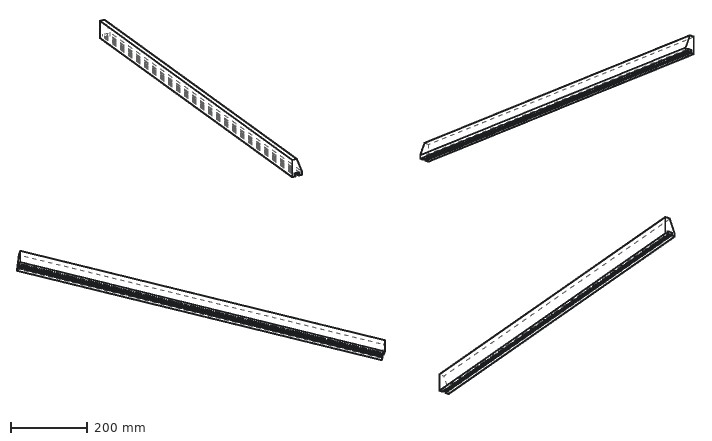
import cadquery as cq

length = 1000.0
depth = 30.0
height = 50.0

top_width = 14.0
back_height = 10.0

slot_opening = 8.0
slot_width = 15.0
slot_depth = 9.0
lip_height = 3.0


def make_bar():
    """Extrude the tapered outline, upright in front and sloped behind, along X."""
    outline = [
        (0, 0),
        (depth, 0),
        (depth, back_height),
        (top_width, height),
        (0, height),
    ]
    return cq.Workplane("YZ").polyline(outline).close().extrude(length)


def make_t_slot():
    """Full-length T-slot: a narrow mouth below a wider channel."""
    mouth = cq.Workplane("XY").box(length, slot_opening, slot_depth, centered=(False, True, False))
    channel = (
        cq.Workplane("XY", origin=(0, 0, lip_height))
        .box(length, slot_width, slot_depth - lip_height, centered=(False, True, False))
    )
    return mouth.union(channel).translate((0, depth / 2, 0))


result = make_bar().cut(make_t_slot())